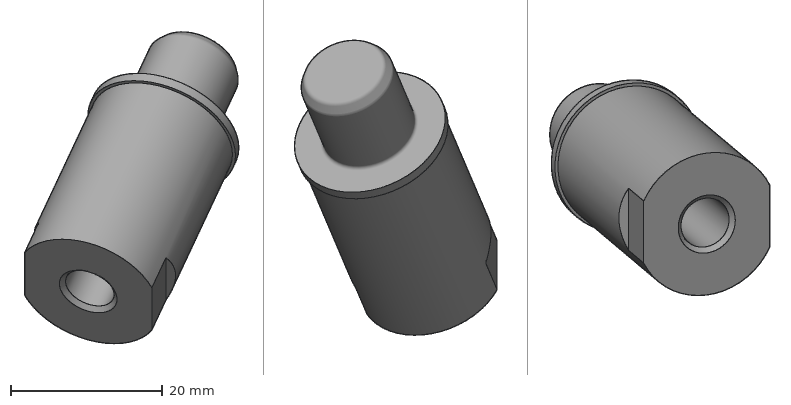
import cadquery as cq
import math

total_length = 42.6
flange_diameter = 20.75
flange_thickness = 1.35
body_diameter = 19.9
pin_diameter = 12.7
pin_length = 12.5
pin_root_fillet = 0.5

taper_length = 1.5
taper_angle = 30.0
taper_rounding = 0.72

across_flats = 17.9
flat_length = 5.5

hole_diameter = 6.8
hole_mouth_diameter = 8.1
hole_depth = 17.05
drill_point_angle = 118.0

flange_radius = flange_diameter / 2
body_radius = body_diameter / 2
pin_radius = pin_diameter / 2
pin_start = total_length - pin_length
flange_start = pin_start - flange_thickness
tip_radius = pin_radius - taper_length * math.tan(math.radians(taper_angle))


def make_cylinder(radius, start, end):
    """Solid cylinder on the Y axis from start to end."""
    return cq.Workplane("XZ", origin=(0, start, 0)).circle(radius).extrude(start - end)


def revolve_outline(points):
    """Solid of revolution about Y from (radius, y) points."""
    return cq.Workplane("XY").polyline(points).close().revolve(360, (0, 0), (0, 1))


def make_pin():
    """Pin with a tapered end whose two corners are rounded."""
    pin = revolve_outline([
        (0, pin_start),
        (pin_radius, pin_start),
        (pin_radius, total_length - taper_length),
        (tip_radius, total_length),
        (0, total_length),
    ])
    taper_edges = pin.faces("%CONE").edges("%CIRCLE")
    return taper_edges.fillet(taper_rounding)


def make_hole():
    """Drilled hole with a 45 degree mouth and a conical bottom."""
    hole_radius = hole_diameter / 2
    mouth_radius = hole_mouth_diameter / 2
    mouth_depth = mouth_radius - hole_radius
    point_depth = hole_radius / math.tan(math.radians(drill_point_angle / 2))
    return revolve_outline([
        (0, 0),
        (mouth_radius, 0),
        (hole_radius, mouth_depth),
        (hole_radius, hole_depth),
        (0, hole_depth + point_depth),
    ])


def make_flat_cutter():
    """Cutter for the +X flat, leaving a 45 degree run-out."""
    flat_x = across_flats / 2
    cutter_width = flange_radius - flat_x
    return (
        cq.Workplane("XY")
        .polyline([
            (flat_x, 0),
            (flange_radius, 0),
            (flange_radius, flat_length + cutter_width),
            (flat_x, flat_length),
        ])
        .close()
        .extrude(flange_radius, both=True)
    )


body = make_cylinder(body_radius, 0, flange_start)
flange = make_cylinder(flange_radius, flange_start, pin_start)
part = body.union(flange).union(make_pin())

root_box = cq.selectors.BoxSelector(
    (-flange_radius, pin_start - pin_root_fillet, -flange_radius),
    (flange_radius, pin_start + pin_root_fillet, flange_radius),
)
root_edge = part.edges(root_box).edges(cq.selectors.RadiusNthSelector(0))
part = root_edge.fillet(pin_root_fillet)

flat_cutter = make_flat_cutter()
part = part.cut(flat_cutter).cut(flat_cutter.mirror("YZ"))

result = part.cut(make_hole())